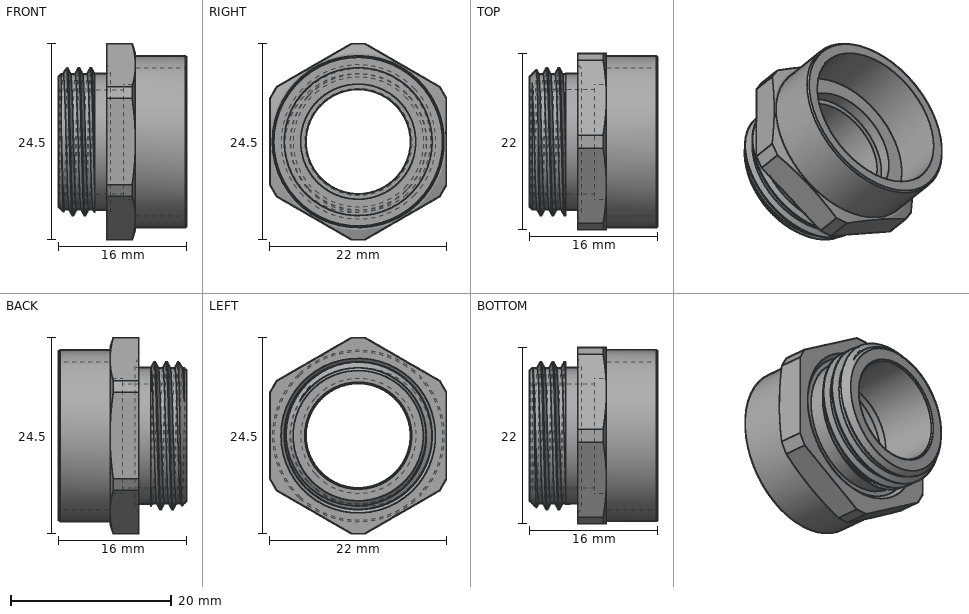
import cadquery as cq
import math

total_length = 16.0
thread_length = 4.5
hex_start = 6.0
hex_end = 9.58

neck_radius = 17.03 / 2
root_radius = 8.45
crest_radius = 9.21
tip_radius = 8.11
pitch = 1.5
ridge_width = 0.93
crest_width = 0.12
first_crest = 1.05
root_overlap = 0.1

across_flats = 22
across_corners = 24.45
hex_chamfer_length = 0.4
recess_radius = 9.63
recess_depth = 0.5

sleeve_radius = 21.4 / 2
sleeve_chamfer = 0.2
bore_radius = 13.0 / 2
bore_chamfer = 0.17
counterbore_radius = 14.35 / 2
counterbore_start = 8.07
socket_radius = 9.21
socket_start = 9.58


def revolve_x(points):
    """Revolve an (x, radius) outline about the X axis."""
    return cq.Workplane("XY").polyline(points).close().revolve(360, (0, 0, 0), (1, 0, 0))


def hex_prism(flats, turn):
    """Hexagonal prism along X, turned about X by the given angle."""
    corner_diameter = flats / math.cos(math.pi / 6)
    prism = cq.Workplane("YZ").polygon(6, corner_diameter).extrude(hex_end - hex_start)
    return prism.translate((hex_start, 0, 0)).rotate((0, 0, 0), (1, 0, 0), turn)


def make_hexagon():
    """Hexagon with trimmed corners, a conical rear chamfer and a conical front recess."""
    envelope = revolve_x([
        (hex_start, 0),
        (hex_start, across_corners),
        (hex_end - hex_chamfer_length, across_corners),
        (hex_end - hex_chamfer_length, across_corners / 2),
        (hex_end, across_flats / 2),
        (hex_end, 0),
    ])
    recess = revolve_x([
        (hex_start, neck_radius),
        (hex_start, recess_radius),
        (hex_start + recess_depth, recess_radius - recess_depth),
        (hex_start + recess_depth, neck_radius),
    ])
    flats = hex_prism(across_flats, 30)
    corner_trim = hex_prism(across_corners, 0)
    return flats.intersect(corner_trim).intersect(envelope).cut(recess)


def make_body():
    """Round stepped core: thread root, neck and sleeve."""
    core = revolve_x([
        (0, 0),
        (0, tip_radius),
        (root_radius - tip_radius, root_radius),
        (thread_length, root_radius),
        (thread_length, neck_radius),
        (hex_end, neck_radius),
        (hex_end, sleeve_radius),
        (total_length - sleeve_chamfer, sleeve_radius),
        (total_length, sleeve_radius - sleeve_chamfer),
        (total_length, 0),
    ])
    return core.rotate((0, 0, 0), (1, 0, 0), 180)


def make_thread():
    """Right-handed V ridge, clipped by the tip chamfer and the end of the thread."""
    base_radius = root_radius - root_overlap
    flank_run = (ridge_width - crest_width) / 2
    base_half_width = ridge_width / 2 + root_overlap * flank_run / (crest_radius - root_radius)
    start = first_crest - pitch
    turns = 4
    helix = cq.Wire.makeHelix(pitch, turns * pitch, base_radius)
    ridge = (
        cq.Workplane("XZ")
        .polyline([
            (base_radius, -base_half_width),
            (crest_radius, -crest_width / 2),
            (crest_radius, crest_width / 2),
            (base_radius, base_half_width),
        ])
        .close()
        .sweep(cq.Workplane(helix), isFrenet=True)
    )
    ridge = ridge.rotate((0, 0, 0), (0, 0, 1), 180)
    ridge = ridge.rotate((0, 0, 0), (0, 1, 0), 90).translate((start, 0, 0))
    limit_radius = crest_radius + 0.25
    limit = revolve_x([
        (0, 0),
        (0, tip_radius),
        (limit_radius - tip_radius, limit_radius),
        (thread_length, limit_radius),
        (thread_length, 0),
    ])
    return ridge.intersect(limit)


def make_bore():
    """Through bore with a chamfered mouth a counterbore and a wide rear socket."""
    return revolve_x([
        (0, 0),
        (0, bore_radius + bore_chamfer),
        (bore_chamfer, bore_radius),
        (counterbore_start, bore_radius),
        (counterbore_start, counterbore_radius),
        (socket_start, counterbore_radius),
        (socket_start, socket_radius),
        (total_length, socket_radius),
        (total_length, 0),
    ])


result = make_body().union(make_thread()).union(make_hexagon()).cut(make_bore())